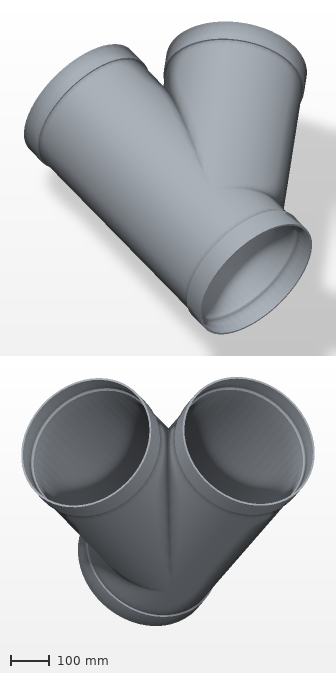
import cadquery as cq
import math

run_length = 738.0
branch_angle = 45.0
arm_length = 546.0
bore_diameter = 345.0
pipe_diameter = 355.0
socket_diameter = 365.0
socket_length = 56.0

socket_bore_diameter = pipe_diameter
shoulder_length = (socket_bore_diameter - bore_diameter) / 2
straight_depth = socket_length - shoulder_length
short_arm_length = run_length - arm_length

angle = math.radians(branch_angle)
run_start_direction = cq.Vector(-1, 0, 0)
run_end_direction = cq.Vector(1, 0, 0)
branch_direction = cq.Vector(-math.cos(angle), math.sin(angle), 0)

arms = [
    (run_start_direction, arm_length),
    (run_end_direction, short_arm_length),
    (branch_direction, arm_length),
]


def cylinder(diameter, direction, start, end):
    """Cylinder about an arm axis between two distances from the origin."""
    solid = cq.Solid.makeCylinder(diameter / 2, end - start, direction * start, direction)
    return cq.Workplane(obj=solid)


def run_cylinder(diameter):
    """Cylinder along the whole run."""
    return cylinder(diameter, run_end_direction, -arm_length, short_arm_length)


def branch_cylinder(diameter):
    """Cylinder along the branch, starting on the run axis."""
    return cylinder(diameter, branch_direction, 0, arm_length)


def socket_cavity(direction, length):
    """Straight socket bore that narrows over a cone to the pipe bore."""
    straight = cylinder(socket_bore_diameter, direction, length - straight_depth, length)
    cone = cq.Solid.makeCone(
        bore_diameter / 2,
        socket_bore_diameter / 2,
        shoulder_length,
        direction * (length - socket_length),
        direction,
    )
    return straight.union(cq.Workplane(obj=cone))


body = run_cylinder(pipe_diameter).union(branch_cylinder(pipe_diameter))
for direction, length in arms:
    body = body.union(cylinder(socket_diameter, direction, length - socket_length, length))

body = body.cut(run_cylinder(bore_diameter)).cut(branch_cylinder(bore_diameter))
for direction, length in arms:
    body = body.cut(socket_cavity(direction, length))

result = body